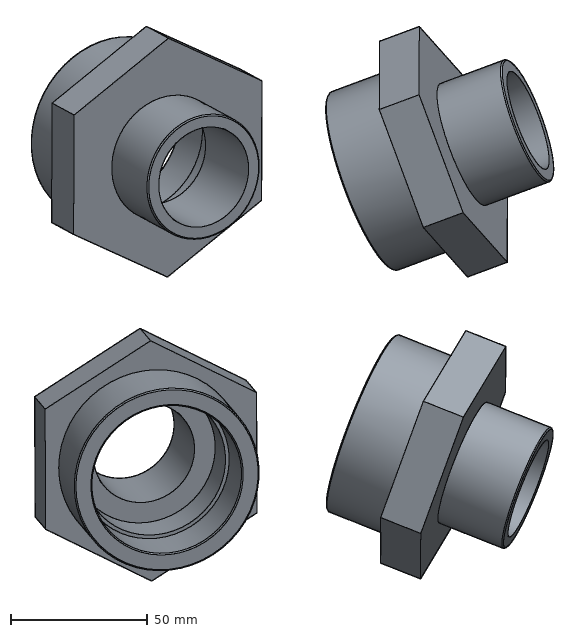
import cadquery as cq
import math

hex_height = 92.4
hex_tilt_degrees = 0.25
socket_length = 24.0
hex_length = 16.0
spigot_length = 26.0
total_length = socket_length + hex_length + spigot_length

socket_diameter = 69.9
spigot_diameter = 47.8
rim_chamfer = 0.5

bore_diameter = 38.2
socket_bore_diameter = 56.6
socket_bore_depth = 19.2
seat_diameter = 53.9
seat_depth = 34.7
mouth_chamfer = 0.5


def cylinder(start, length, diameter):
    """Solid cylinder along +X, beginning at x = start."""
    return cq.Workplane("YZ", origin=(start, 0, 0)).circle(diameter / 2).extrude(length)


def hex_collar():
    """Hexagon with a corner upward, turned slightly about the axis toward +Y."""
    across_corners = hex_height / math.cos(math.radians(hex_tilt_degrees))
    outline = cq.Workplane("YZ", origin=(socket_length, 0, 0)).polygon(6, across_corners)
    return outline.extrude(hex_length).rotate((0, 0, 0), (1, 0, 0), 90 - hex_tilt_degrees)


def stepped_bore():
    """Through bore with the seat and the wider chamfered socket bore."""
    socket_bore = cylinder(0, socket_bore_depth, socket_bore_diameter)
    mouth = (
        cq.Workplane("YZ")
        .circle(socket_bore_diameter / 2 + mouth_chamfer)
        .workplane(offset=mouth_chamfer)
        .circle(socket_bore_diameter / 2)
        .loft()
    )
    seat = cylinder(0, seat_depth, seat_diameter)
    through = cylinder(0, total_length, bore_diameter)
    return through.union(seat).union(socket_bore).union(mouth)


socket = cylinder(0, socket_length, socket_diameter).faces("<X").edges().chamfer(rim_chamfer)
spigot = cylinder(socket_length + hex_length, spigot_length, spigot_diameter)
spigot = spigot.faces(">X").edges().chamfer(rim_chamfer)

result = socket.union(hex_collar()).union(spigot).cut(stepped_bore())